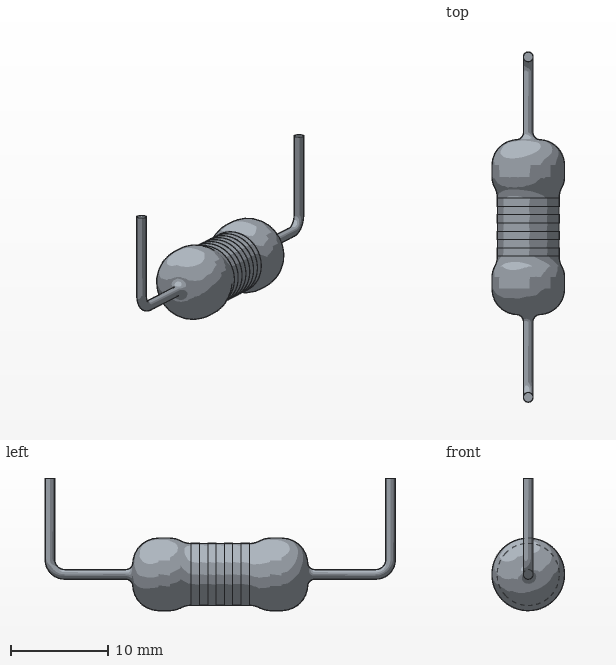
import cadquery as cq
import math

body_radius = 3.75
body_half_length = 9.0
dome_radius = 2.65
shoulder_end = 5.15
waist_diameter = 6.37
ring_diameter = 6.4
waist_half_length = 3.0
slot_count = 7

lead_radius = 0.5
lead_flare_radius = 0.72
bend_radius = 1.5
total_length = 36.0
lead_top = 9.85

waist_radius = waist_diameter / 2
dome_start = body_half_length - dome_radius
dome_center_radius = body_radius - dome_radius
slot_width = 2 * waist_half_length / slot_count
lead_axis_y = total_length / 2 - lead_radius

flare_center_radius = lead_radius + lead_flare_radius
center_distance = dome_radius + lead_flare_radius
dome_to_flare = math.asin((flare_center_radius - dome_center_radius) / center_distance)
flare_end = dome_start + center_distance * math.cos(dome_to_flare)


def arc_point(center, radius, angle):
    """Point on a circle in (radial, axial) coordinates; angle is from the axis."""
    return (center[0] + radius * math.sin(angle), center[1] + radius * math.cos(angle))


def make_body_end():
    """Revolve the whole waist plus the +Y shoulder, dome and lead flare."""
    dome_center = (dome_center_radius, dome_start)
    flare_center = (flare_center_radius, flare_end)
    transition_middle = ((body_radius + waist_radius) / 2, (shoulder_end + waist_half_length) / 2)
    flare_foot_angle = math.pi + dome_to_flare
    flare_end_angle = 1.5 * math.pi
    return (
        cq.Workplane("XY")
        .moveTo(0, -waist_half_length)
        .lineTo(waist_radius, -waist_half_length)
        .lineTo(waist_radius, waist_half_length)
        .tangentArcPoint(transition_middle, relative=False)
        .tangentArcPoint((body_radius, shoulder_end), relative=False)
        .lineTo(body_radius, dome_start)
        .threePointArc(
            arc_point(dome_center, dome_radius, (math.pi / 2 + dome_to_flare) / 2),
            arc_point(dome_center, dome_radius, dome_to_flare),
        )
        .threePointArc(
            arc_point(flare_center, lead_flare_radius, (flare_foot_angle + flare_end_angle) / 2),
            (lead_radius, flare_end),
        )
        .lineTo(0, flare_end)
        .close()
        .revolve(360, (0, 0), (0, 1))
    )


def make_ring(slot):
    """Colour ring filling one slot of the waist."""
    start = -waist_half_length + slot * slot_width
    return (
        cq.Workplane("XZ", origin=(0, start, 0))
        .circle(ring_diameter / 2)
        .extrude(-slot_width)
    )


def make_lead():
    """Sweep the +Y wire lead out of the flare and up to its free end."""
    bend_start = lead_axis_y - bend_radius
    path = (
        cq.Workplane("YZ", origin=(0, flare_end, 0))
        .lineTo(bend_start - flare_end, 0)
        .tangentArcPoint((lead_axis_y - flare_end, bend_radius), relative=False)
        .lineTo(lead_axis_y - flare_end, lead_top)
    )
    return cq.Workplane("XZ", origin=(0, flare_end, 0)).circle(lead_radius).sweep(path)


resistor_end = make_body_end().union(make_lead())
result = resistor_end.union(resistor_end.mirror("XZ"))
for ring_slot in range(0, slot_count, 2):
    result = result.union(make_ring(ring_slot))